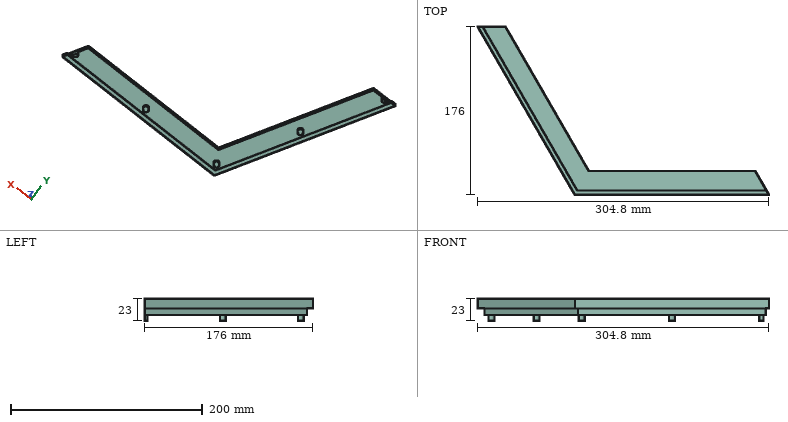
import cadquery as cq
import math

length_x = 304.8
leg_slope = math.radians(60)
miter_slope = leg_slope / 2
leg_length = length_x / (1 + math.cos(leg_slope))
depth_y = leg_length * math.sin(leg_slope)
corner_x = leg_length * math.cos(leg_slope)

leg_width = 25.3
lip_width = 4.5
skirt_setback = 6.0

pin_height = 6.0
skirt_height = 7.0
rim_height = 10.0
ledge_drop = 6.0
rim_bottom = pin_height + skirt_height
pin_diameter = 6.5


def path_points(offset):
    """Slanted end, corner and straight end of a path parallel to the outer edge."""
    miter_shift = offset * math.tan(miter_slope)
    return [
        (offset / math.sin(leg_slope), depth_y),
        (corner_x + miter_shift, offset),
        (length_x - miter_shift, offset),
    ]


def angled_strip(outer_offset, inner_offset, bottom, height):
    """Bent strip between two offsets from the outer edge."""
    outline = path_points(outer_offset) + path_points(inner_offset)[::-1]
    return cq.Workplane("XY").workplane(offset=bottom).polyline(outline).close().extrude(height)


def midpoint(a, b):
    return ((a[0] + b[0]) / 2, (a[1] + b[1]) / 2)


def locating_pins():
    """Pins on the centreline, with the end pins cut flush with the leg ends."""
    slanted_end, corner, straight_end = path_points(leg_width / 2)
    centres = [
        slanted_end,
        midpoint(slanted_end, corner),
        corner,
        midpoint(corner, straight_end),
        straight_end,
    ]
    pins = cq.Workplane("XY").pushPoints(centres).circle(pin_diameter / 2).extrude(rim_bottom)
    return pins.intersect(angled_strip(0, leg_width, 0, rim_bottom))


lip = angled_strip(0, lip_width, rim_bottom, rim_height)
ledge = angled_strip(0, leg_width, rim_bottom, rim_height - ledge_drop)
skirt = angled_strip(skirt_setback, leg_width, pin_height, skirt_height)

result = ledge.union(lip).union(skirt).union(locating_pins())